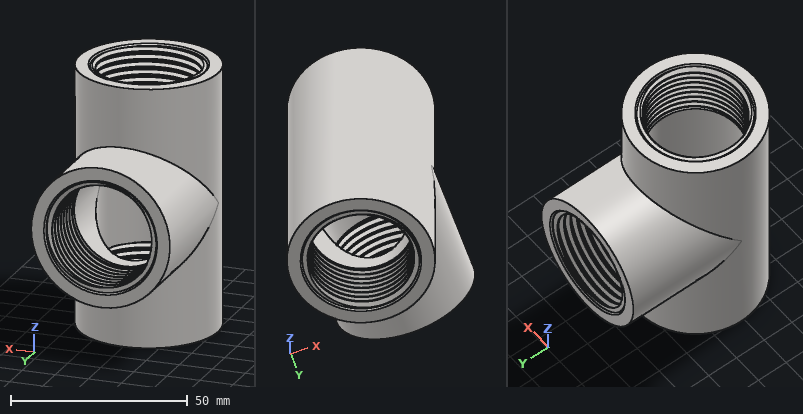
import cadquery as cq
import math

RUN_LENGTH = 78.0
OUTER_DIAMETER = 42.0
BRANCH_REACH = RUN_LENGTH / 2
BORE_DIAMETER = 30.0

SOCKET_DIAMETER = 33.2
SOCKET_RADIUS = SOCKET_DIAMETER / 2
SOCKET_DEPTH = 18.9
MOUTH_DIAMETER = 34.25
MOUTH_CHAMFER = (MOUTH_DIAMETER - SOCKET_DIAMETER) / 2

THREAD_PITCH = 2.31
THREAD_HEIGHT = 1.5
THREAD_ANGLE = 55.0
CREST_WIDTH = 0.5
BASE_WIDTH = CREST_WIDTH + 2 * THREAD_HEIGHT * math.tan(math.radians(THREAD_ANGLE / 2))
THREAD_TURNS = 9
THREAD_LENGTH = THREAD_TURNS * THREAD_PITCH
THREAD_START = (SOCKET_DEPTH - THREAD_LENGTH) / 2
THREAD_TOP = MOUTH_CHAMFER
THREAD_BOTTOM = SOCKET_DEPTH


def port_planes():
    """Plane at the mouth of each port, with its normal pointing into the tee."""
    top = cq.Plane(origin=(0, 0, BRANCH_REACH), xDir=(1, 0, 0), normal=(0, 0, -1))
    bottom = cq.Plane(origin=(0, 0, -BRANCH_REACH), xDir=(1, 0, 0), normal=(0, 0, 1))
    branch = cq.Plane(origin=(0, BRANCH_REACH, 0), xDir=(1, 0, 0), normal=(0, -1, 0))
    return [top, bottom, branch]


def make_tee_cylinders(diameter):
    """Run and branch of one diameter, joined where their axes cross."""
    run = cq.Workplane("XY").circle(diameter / 2).extrude(BRANCH_REACH, both=True)
    branch = cq.Workplane("XZ").circle(diameter / 2).extrude(-BRANCH_REACH)
    return run.union(branch)


def make_socket_cutter(plane):
    """Socket space with its flared mouth."""
    mouth_radius = SOCKET_RADIUS + MOUTH_CHAMFER
    profile = (
        cq.Workplane("XZ")
        .moveTo(0, 0)
        .lineTo(mouth_radius, 0)
        .lineTo(SOCKET_RADIUS, MOUTH_CHAMFER)
        .lineTo(SOCKET_RADIUS, SOCKET_DEPTH)
        .lineTo(0, SOCKET_DEPTH)
        .close()
    )
    cutter = profile.revolve(360, (0, 0, 0), (0, 1, 0)).val()
    return cutter.moved(cq.Location(plane))


def make_housing():
    """Hollow tee with a plain socket at each port."""
    housing = make_tee_cylinders(OUTER_DIAMETER).cut(make_tee_cylinders(BORE_DIAMETER))
    for plane in port_planes():
        housing = housing.cut(cq.Workplane(obj=make_socket_cutter(plane)))
    return housing


def make_thread_coil(plane):
    """Helical thread ridge lying against the socket wall of one port."""
    helix = cq.Wire.makeHelix(THREAD_PITCH, THREAD_LENGTH, SOCKET_RADIUS)
    crest_radius = SOCKET_RADIUS - THREAD_HEIGHT
    coil = (
        cq.Workplane("XZ")
        .moveTo(SOCKET_RADIUS, -BASE_WIDTH / 2)
        .lineTo(SOCKET_RADIUS, BASE_WIDTH / 2)
        .lineTo(crest_radius, CREST_WIDTH / 2)
        .lineTo(crest_radius, -CREST_WIDTH / 2)
        .close()
        .sweep(cq.Workplane(obj=helix), isFrenet=True)
        .translate((0, 0, THREAD_START))
    )
    trimming_sleeve = (
        cq.Workplane("XY", origin=(0, 0, THREAD_TOP))
        .circle(SOCKET_RADIUS + THREAD_HEIGHT)
        .extrude(THREAD_BOTTOM - THREAD_TOP)
    )
    coil = coil.intersect(trimming_sleeve)
    return coil.solids().val().moved(cq.Location(plane))


housing = make_housing()
thread_coils = [make_thread_coil(plane) for plane in port_planes()]

result = cq.Compound.makeCompound([housing.val(), *thread_coils])